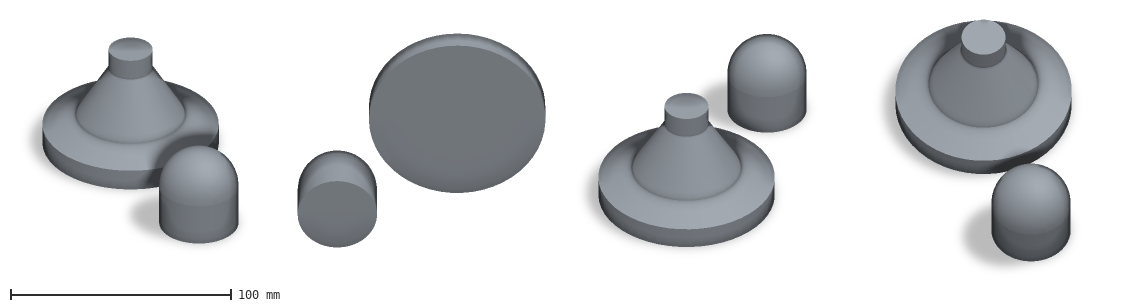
import cadquery as cq

total_length = 133.0

base_diameter = 80.0
shoulder_diameter = 50.0
stem_diameter = 20.0
rim_height = 10.0
shoulder_z = 15.0
stem_bottom_z = 40.0
cone_height = 50.0

cap_diameter = 36.0
cap_wall_height = 20.0
cap_radius = cap_diameter / 2
cap_x = total_length - base_diameter / 2 - cap_radius


def make_stepped_cone():
    """Revolve a rim, a shallow shoulder, a steep cone and a straight stem."""
    profile = (
        cq.Workplane("XZ")
        .lineTo(base_diameter / 2, 0)
        .lineTo(base_diameter / 2, rim_height)
        .lineTo(shoulder_diameter / 2, shoulder_z)
        .lineTo(stem_diameter / 2, stem_bottom_z)
        .lineTo(stem_diameter / 2, cone_height)
        .lineTo(0, cone_height)
        .close()
    )
    return profile.revolve(360, (0, 0, 0), (0, 1, 0))


def make_domed_cap():
    """Revolve a straight wall and a quarter circle about the cap axis."""
    profile = (
        cq.Workplane("XZ")
        .lineTo(cap_radius, 0)
        .lineTo(cap_radius, cap_wall_height)
        .radiusArc((0, cap_wall_height + cap_radius), -cap_radius)
        .close()
    )
    cap = profile.revolve(360, (0, 0, 0), (0, 1, 0))
    return cap.translate((cap_x, 0, 0))


stepped_cone = make_stepped_cone()
domed_cap = make_domed_cap()

result = cq.Compound.makeCompound([stepped_cone.val(), domed_cap.val()])